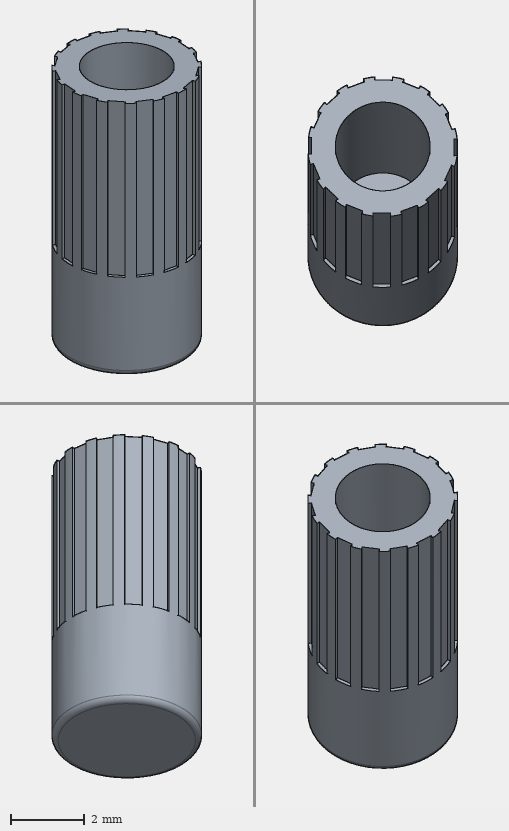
import cadquery as cq

height = 8.6
outer_diameter = 4.1
bore_diameter = 2.6
bottom_fillet = 0.17

groove_count = 16
groove_width = 0.48
groove_depth = 0.1
groove_length = 5.49

bore_depth = groove_length


def make_body():
    """Solid cylinder with a rounded bottom rim, standing on Z = 0."""
    body = cq.Workplane("XY").circle(outer_diameter / 2).extrude(height)
    return body.faces("<Z").edges().fillet(bottom_fillet)


def cut_bore(body):
    """Cut the flat-bottomed blind bore down from the top face."""
    return body.faces(">Z").workplane().hole(bore_diameter, bore_depth)


def cut_grooves(body):
    """Cut evenly spaced, flat-floored grip grooves that run out at the top."""
    floor_radius = outer_diameter / 2 - groove_depth
    cutter_thickness = 2 * groove_depth
    cutters = (
        cq.Workplane("XY", origin=(0, 0, height - groove_length))
        .polarArray(floor_radius + cutter_thickness / 2, 0, 360, groove_count)
        .rect(cutter_thickness, groove_width)
        .extrude(groove_length)
    )
    return body.cut(cutters)


result = cut_grooves(cut_bore(make_body()))